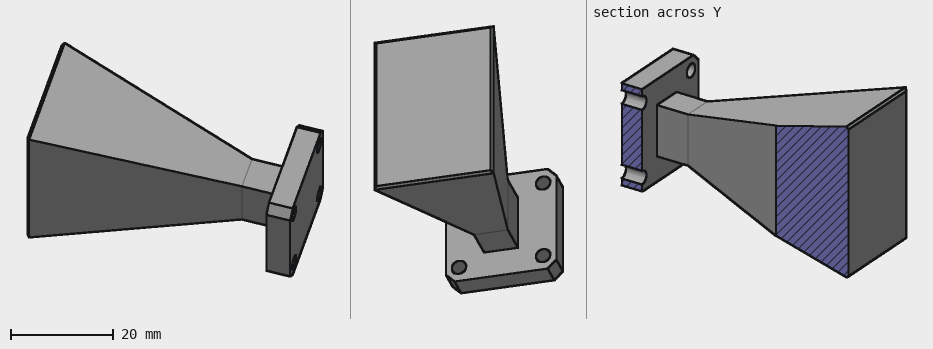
import cadquery as cq

overall_length = 53.34
aperture_width = 24.14
aperture_height = 32.97
aperture_chamfer = 0.5

neck_length = 7.3
neck_width = 6.86
neck_height = 11.18

flange_thickness = 4.83
flange_side = 22.35
corner_bevel = 1.75

hole_diameter = 2.9
hole_spacing_y = 17.04
hole_spacing_z = 16.26

flange_start = overall_length - flange_thickness
neck_start = flange_start - neck_length


def section_plane(x):
    """Plane across the axis at x, with local x along +Y and local y along +Z."""
    return cq.Workplane("YZ", origin=(x, 0, 0))


def frustum(x_start, start_size, x_end, end_size):
    """Four-sided taper between two rectangles centred on the axis."""
    return (
        section_plane(x_start)
        .rect(*start_size)
        .workplane(offset=x_end - x_start)
        .rect(*end_size)
        .loft(ruled=True, combine=True)
    )


def make_horn():
    """Flared body with a bevelled rim around the closed aperture face."""
    aperture = (aperture_width, aperture_height)
    face = (aperture_width - 2 * aperture_chamfer, aperture_height - 2 * aperture_chamfer)
    rim = frustum(0, face, aperture_chamfer, aperture)
    flare = frustum(aperture_chamfer, aperture, neck_start, (neck_width, neck_height))
    return rim.union(flare)


def make_neck():
    return section_plane(neck_start).rect(neck_width, neck_height).extrude(neck_length)


def make_flange():
    plate = section_plane(flange_start).rect(flange_side, flange_side).extrude(flange_thickness)
    plate = plate.edges("|X").chamfer(corner_bevel)
    holes = (
        section_plane(flange_start)
        .rect(hole_spacing_y, hole_spacing_z, forConstruction=True)
        .vertices()
        .circle(hole_diameter / 2)
        .extrude(flange_thickness)
    )
    return plate.cut(holes)


result = make_horn().union(make_neck()).union(make_flange())